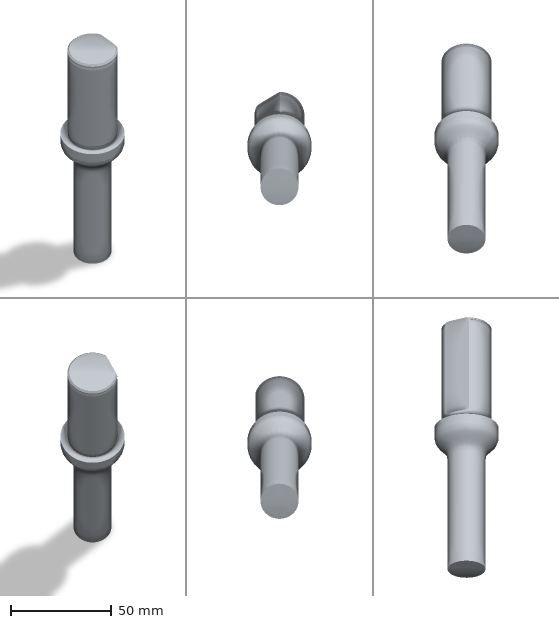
import cadquery as cq
import math

total_length = 135.0

tip_length = 5.4
tip_radius = 9.5
tip_rim_top = 1.1
tip_rim_bottom = 0.3

stem_radius = 9.6
collar_diameter = 32.0
collar_radius = collar_diameter / 2
collar_top = 79.0
collar_rim_bottom = 73.8

flare_bottom = 62.0
flare_angle = math.radians(45)

shank_diameter = 25.0
shank_radius = shank_diameter / 2
neck_diameter = 24.5
neck_radius = neck_diameter / 2
undercut_top = 80.9
undercut_taper = 0.5
undercut_outer_radius = 13.2
undercut_depth = 0.4

end_face_radius = 11.6
chamfer_height = 1.0
groove_top = 133.6
groove_floor_bottom = 132.8
groove_bottom = 131.6

flat_offset = 10.4
flat_bottom = 82.8
flat_corner_radius = 2.0
cutter_size = 2 * shank_radius


def make_tip():
    """Short cutting head under the stem."""
    return (
        cq.Workplane("XZ")
        .moveTo(0, 0)
        .lineTo(tip_radius, tip_rim_bottom)
        .lineTo(tip_radius, tip_rim_top)
        .lineTo(stem_radius, tip_length)
        .lineTo(0, tip_length)
        .close()
        .revolve(360, (0, 0, 0), (0, 1, 0))
    )


def make_turned_holder():
    """Stem, collar and shank turned in one piece."""
    flare_middle = ((stem_radius + collar_radius) / 2, (flare_bottom + collar_rim_bottom) / 2)

    return (
        cq.Workplane("XZ")
        .moveTo(0, tip_length)
        .lineTo(stem_radius, tip_length)
        .lineTo(stem_radius, flare_bottom)
        .spline(
            [flare_middle, (collar_radius, collar_rim_bottom)],
            tangents=[(0, 1), (math.sin(flare_angle), math.cos(flare_angle)), (0, 1)],
            includeCurrent=True,
        )
        .lineTo(collar_radius, collar_top)
        .lineTo(undercut_outer_radius, collar_top)
        .lineTo(neck_radius, collar_top - undercut_depth)
        .lineTo(neck_radius, undercut_top - undercut_taper)
        .lineTo(shank_radius, undercut_top)
        .lineTo(shank_radius, groove_bottom)
        .lineTo(neck_radius, groove_floor_bottom)
        .lineTo(neck_radius, groove_top)
        .lineTo(shank_radius, groove_top)
        .lineTo(shank_radius, total_length - chamfer_height)
        .lineTo(end_face_radius, total_length)
        .lineTo(0, total_length)
        .close()
        .revolve(360, (0, 0, 0), (0, 1, 0))
    )


def make_flat_cutter():
    """Block that mills the clamping flat, with a rounded lower inner edge."""
    return (
        cq.Workplane("XY", origin=(0, flat_offset + cutter_size / 2, flat_bottom))
        .rect(cutter_size, cutter_size)
        .extrude(total_length - flat_bottom)
        .edges("<Y and <Z")
        .fillet(flat_corner_radius)
    )


tip = make_tip()
holder = make_turned_holder().cut(make_flat_cutter())

result = cq.Compound.makeCompound([tip.val(), *holder.vals()])